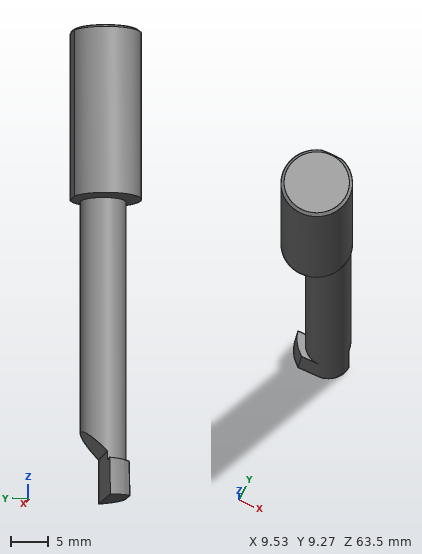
import cadquery as cq
import math

total_length = 63.49

shank_radius = 9.525 / 2
shank_length = 22.86
shank_width_over_flat = 9.27
shank_bottom = total_length - shank_length
flat_y = shank_width_over_flat - shank_radius
chamfer_radial = 0.42
chamfer_height = 0.33

neck_radius = 3.048
neck_x = shank_radius - neck_radius

rake_y = 0.0
ramp_start_z = 6.22
ramp_angle = 45.0

head_top = 5.1
tip_x = -3.33
nose_radius = 5.5
nose_end_x = -2.2
nose_end_y = -2.2
facet_end_x = -1.3
side_clearance_angle = 6.0

end_slope_angle_x = 1.9
end_slope_angle_y = 5.0

cut_depth = 2 * shank_radius
cut_width = 4 * shank_radius


def slope(angle):
    return math.tan(math.radians(angle))


def make_shank():
    shank = cq.Workplane("XY", origin=(0, 0, shank_bottom)).circle(shank_radius).extrude(shank_length)
    shank = shank.faces(">Z").chamfer(chamfer_height, chamfer_radial)
    beyond_flat = (
        cq.Workplane("XY", origin=(0, flat_y, shank_bottom))
        .rect(cut_width, cut_depth, centered=(True, False))
        .extrude(shank_length)
    )
    return shank.cut(beyond_flat)


def make_neck():
    neck = cq.Workplane("XY").center(neck_x, 0).circle(neck_radius).extrude(shank_bottom)
    relief = (
        cq.Workplane("YZ")
        .moveTo(rake_y, 0)
        .lineTo(rake_y, ramp_start_z)
        .lineTo(rake_y + cut_depth, ramp_start_z + cut_depth * slope(ramp_angle))
        .lineTo(rake_y + cut_depth, 0)
        .close()
        .extrude(cut_width, both=True)
    )
    return neck.cut(relief)


def head_section(z):
    """Closed head outline at height z; the cutting side moves towards +X with height."""
    shift = z * slope(side_clearance_angle)
    outline = (
        cq.Workplane("XY", origin=(0, 0, z))
        .moveTo(facet_end_x + shift, -neck_radius)
        .lineTo(nose_end_x + shift, nose_end_y)
        .radiusArc((tip_x + shift, rake_y), nose_radius)
        .lineTo(neck_x, rake_y)
        .lineTo(neck_x, -neck_radius)
        .close()
    )
    return outline.val()


def make_head():
    ruled = True
    return cq.Workplane(cq.Solid.makeLoft([head_section(0), head_section(head_top)], ruled))


def make_end_trim():
    """Everything below the sloped end face that passes through the tip."""
    rise_x = slope(end_slope_angle_x)
    rise_y = slope(end_slope_angle_y)
    end_plane = cq.Plane(origin=(tip_x, rake_y, 0), xDir=(1, 0, rise_x), normal=(-rise_x, rise_y, 1))
    return cq.Workplane(end_plane).rect(2 * cut_width, 2 * cut_width).extrude(-cut_depth)


result = make_shank().union(make_neck()).union(make_head()).cut(make_end_trim())